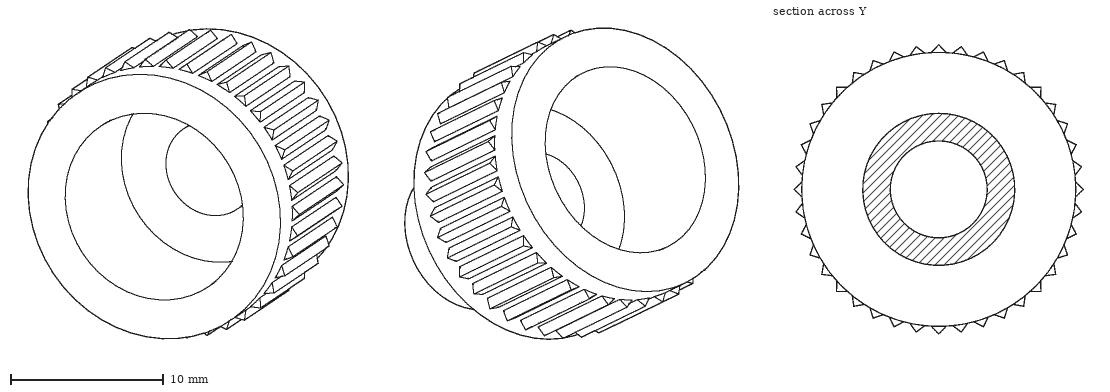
import cadquery as cq
import math

body_diameter = 18.0
hub_diameter = 10.0
bore_diameter = 12.7
shaft_hole_diameter = 6.35

rim_length = 2.0
tooth_length = 7.5
hub_length = 7.0
body_length = tooth_length + 2 * rim_length
total_length = body_length + hub_length
bore_depth = body_length - rim_length

tooth_count = 40
tip_diameter = 19.0
tooth_half_width = 0.5
root_sink = 0.2


def cylinder(diameter, start, length):
    """Solid cylinder on the Y axis, running from Y = start towards +Y."""
    axis = cq.Vector(0, 1, 0)
    origin = cq.Vector(0, start, 0)
    return cq.Workplane(cq.Solid.makeCylinder(diameter / 2, length, origin, axis))


def tooth():
    """Triangular ridge at the top of the body, with a short root sunk into it."""
    body_radius = body_diameter / 2
    base_height = math.sqrt(body_radius**2 - tooth_half_width**2)
    root_height = base_height - root_sink
    outline = [
        (-tooth_half_width, root_height),
        (-tooth_half_width, base_height),
        (0, tip_diameter / 2),
        (tooth_half_width, base_height),
        (tooth_half_width, root_height),
    ]
    plane = cq.Workplane("XZ", origin=(0, rim_length, 0))
    return plane.polyline(outline).close().extrude(-tooth_length)


def add_teeth(body):
    """Spread the teeth evenly around the body."""
    pitch_angle = 360 / tooth_count
    base_tooth = tooth().val()
    teeth = []
    for index in range(tooth_count):
        turned = base_tooth.rotate(cq.Vector(0, 0, 0), cq.Vector(0, 1, 0), index * pitch_angle)
        teeth.append(turned)
    return cq.Workplane(body.val().fuse(*teeth))


def cut_bores(body):
    """Wide blind bore from the front and a narrow shaft hole right through."""
    bore = cylinder(bore_diameter, 0, bore_depth)
    shaft_hole = cylinder(shaft_hole_diameter, 0, total_length)
    return body.cut(bore).cut(shaft_hole)


body = cylinder(body_diameter, 0, body_length)
hub = cylinder(hub_diameter, body_length, hub_length)
result = cut_bores(add_teeth(body.union(hub)))